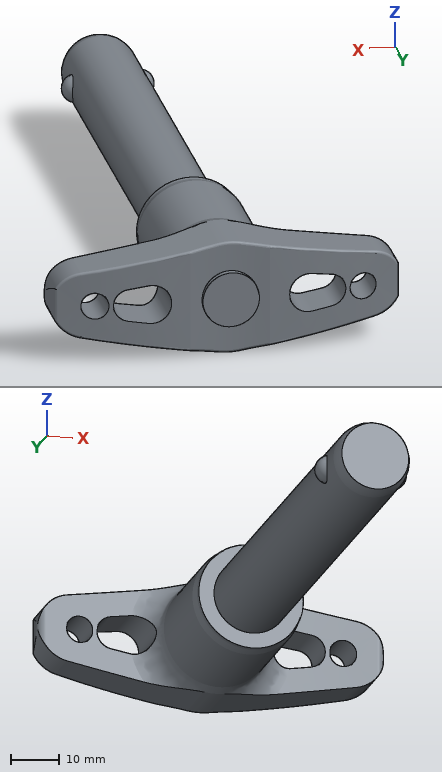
import cadquery as cq
import math


overall_length = 136.2
grip_length = 74.8
grip_height = 24.7
head_length = 42.1
top_y = head_length
tip_y = head_length - overall_length

shank_radius = 8.0
nose_length = 3.3
nose_end_radius = 7.2

ball_radius = 3.0
ball_stick_out = 1.8
ball_from_tip = 11.2

collar_radius = 11.3
collar_height = 1.2
body_radius = 11.7
body_taper_height = 2.0
flare_radius = 5.7

flank_angle = math.radians(9.6)
end_radius = 7.4
crest_radius = 13.6

half_length = grip_length / 2
underside_y = top_y - 11.2
underside_end_y = top_y - 12.5
grip_middle_y = top_y - 6.8
bar_half_width = body_radius + 2 * flare_radius
crown_y = top_y - 0.5
crown_x = 11.6
crown_arc_radius = 81.7
dish_half_width = 8.5
dish_floor_y = top_y - 1.4
top_edge_round = 0.5
end_slant = math.radians(9.0)
widest_y = top_y - 10.6
end_top_y = top_y - 4.1
end_round = 1.5

button_radius = 6.0

cord_hole_radius = 2.9
cord_hole_x = 28.5
slot_inner_radius = 4.2
slot_inner_x = 16.8
slot_outer_radius = 3.5
slot_outer_x = 21.1


def revolve_about_pin(profile):
    """Revolve a closed (radius, y) profile about the Y axis."""
    return profile.close().revolve(360, (0, 0, 0), (0, 1, 0))


def along_y(sketch):
    """Extrude an XZ outline through the whole grip, from the collar up to the button face."""
    return sketch.extrude(-head_length)


def make_shank():
    nose_y = tip_y + nose_length
    inset = shank_radius - nose_end_radius
    nose_arc_radius = (nose_length**2 + inset**2) / (2 * inset)
    nose_middle_x = shank_radius - nose_arc_radius + math.sqrt(nose_arc_radius**2 - (nose_length / 2) ** 2)
    return revolve_about_pin(
        cq.Workplane("XY")
        .moveTo(0, tip_y)
        .lineTo(nose_end_radius, tip_y)
        .threePointArc((nose_middle_x, nose_y - nose_length / 2), (shank_radius, nose_y))
        .lineTo(shank_radius, collar_height)
        .lineTo(0, collar_height)
    )


def make_ball(side):
    center_x = side * (shank_radius + ball_stick_out - ball_radius)
    return cq.Workplane("XY").sphere(ball_radius).translate((center_x, tip_y + ball_from_tip, 0))


def make_body():
    """Collar, tapered lower rim and cylinder, reaching up into the grip."""
    return revolve_about_pin(
        cq.Workplane("XY")
        .moveTo(0, 0)
        .lineTo(collar_radius, 0)
        .lineTo(collar_radius, collar_height)
        .lineTo(body_radius, collar_height + body_taper_height)
        .lineTo(body_radius, grip_middle_y)
        .lineTo(0, grip_middle_y)
    )


def make_outline():
    """Prism with the grip outline: flanks tangent to the crest arcs and the end arcs."""
    sin_a = math.sin(flank_angle)
    cos_a = math.cos(flank_angle)
    half_height = grip_height / 2
    crest_center_z = half_height - crest_radius
    end_center_x = half_length - end_radius
    crest_x = crest_radius * sin_a
    crest_z = crest_center_z + crest_radius * cos_a
    end_x = end_center_x + end_radius * sin_a
    end_z = end_radius * cos_a
    return along_y(
        cq.Workplane("XZ")
        .moveTo(-crest_x, crest_z)
        .threePointArc((0, half_height), (crest_x, crest_z))
        .lineTo(end_x, end_z)
        .threePointArc((half_length, 0), (end_x, -end_z))
        .lineTo(crest_x, -crest_z)
        .threePointArc((0, -half_height), (-crest_x, -crest_z))
        .lineTo(-end_x, -end_z)
        .threePointArc((-half_length, 0), (-end_x, end_z))
        .close()
    )


def crown_height(x):
    """Height of the crowned top of a wing at distance x from the pin axis."""
    drop = crown_arc_radius - math.sqrt(crown_arc_radius**2 - (x - crown_x) ** 2)
    return crown_y - drop


def make_bar():
    """Bar with a crowned top, a dish in the middle and slanted ends, wide enough for the whole flare."""
    end_top_x = half_length - (end_top_y - widest_y) * math.tan(end_slant)
    end_low_x = half_length + (widest_y - underside_end_y) * math.tan(end_slant)
    middle_x = (dish_half_width + end_top_x) / 2
    dish_edge_y = crown_height(dish_half_width)
    return (
        cq.Workplane("XY")
        .moveTo(-dish_half_width, dish_edge_y)
        .threePointArc((0, dish_floor_y), (dish_half_width, dish_edge_y))
        .threePointArc((middle_x, crown_height(middle_x)), (end_top_x, end_top_y))
        .lineTo(end_low_x, underside_end_y)
        .threePointArc((0, underside_y), (-end_low_x, underside_end_y))
        .lineTo(-end_top_x, end_top_y)
        .threePointArc((-middle_x, crown_height(middle_x)), (-dish_half_width, dish_edge_y))
        .close()
        .extrude(bar_half_width, both=True)
        .edges("|Z and (<X or >X)")
        .fillet(end_round)
    )


def make_handle():
    """Body flared into the bar, then trimmed to the grip outline."""
    margin = 0.7
    junction = cq.selectors.BoxSelector(
        (-body_radius - margin, underside_end_y, -body_radius - margin),
        (body_radius + margin, underside_y + margin, body_radius + margin),
    )
    blank = make_bar().union(make_body())
    flared = blank.edges(junction).fillet(flare_radius)
    return flared.intersect(make_outline())


def round_top_edges(handle):
    """Round the rim of the crowned top, leaving the creases beside the dish sharp."""
    margin = 0.1

    def is_rim(edge):
        center = edge.Center()
        on_top = center.y > end_top_y - margin
        is_crease = abs(center.z) < margin and abs(center.x) < dish_half_width + margin
        return on_top and not is_crease

    return handle.edges().filter(is_rim).fillet(top_edge_round)


def make_openings(side):
    """Cord hole and tapered slot through one wing."""
    lean = math.asin((slot_inner_radius - slot_outer_radius) / (slot_outer_x - slot_inner_x))
    inner_x = slot_inner_x + slot_inner_radius * math.sin(lean)
    inner_z = slot_inner_radius * math.cos(lean)
    outer_x = slot_outer_x + slot_outer_radius * math.sin(lean)
    outer_z = slot_outer_radius * math.cos(lean)
    slot = along_y(
        cq.Workplane("XZ")
        .moveTo(side * inner_x, inner_z)
        .lineTo(side * outer_x, outer_z)
        .threePointArc((side * (slot_outer_x + slot_outer_radius), 0), (side * outer_x, -outer_z))
        .lineTo(side * inner_x, -inner_z)
        .threePointArc((side * (slot_inner_x - slot_inner_radius), 0), (side * inner_x, inner_z))
        .close()
    )
    hole = along_y(cq.Workplane("XZ").center(side * cord_hole_x, 0).circle(cord_hole_radius))
    return slot.union(hole)


def make_button():
    button_depth = top_y - grip_middle_y
    return cq.Workplane("XZ", origin=(0, top_y, 0)).circle(button_radius).extrude(button_depth)


handle = round_top_edges(make_handle())
for side in (-1, 1):
    handle = handle.cut(make_openings(side))

result = handle.union(make_button()).union(make_shank())
for side in (-1, 1):
    result = result.union(make_ball(side))